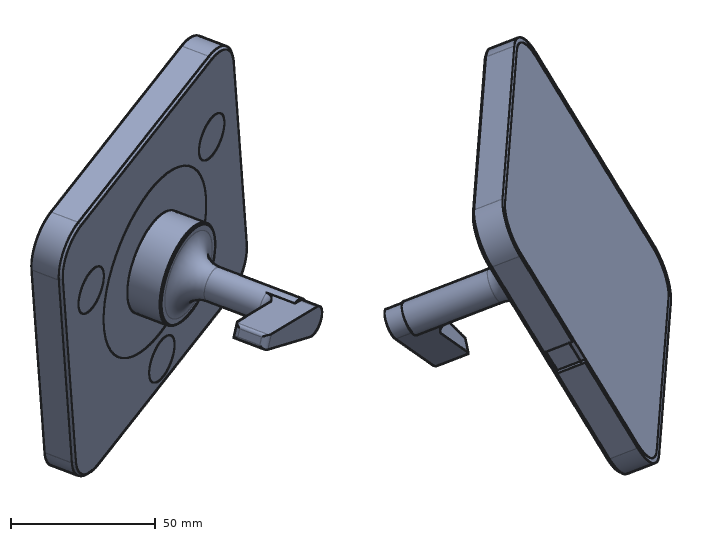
import cadquery as cq
import math

ROLL = 5.7
YAW = -5.7

PLATE_WIDTH = 120.2
PLATE_HEIGHT = 120.6
PLATE_THICKNESS = 12.0
PLATE_CORNER_RADIUS = 15.0
BACK_CHAMFER = 1.0

BEZEL = 2.0
PANEL_WIDTH = PLATE_WIDTH - 2 * BEZEL
PANEL_HEIGHT = PLATE_HEIGHT - 2 * BEZEL
PANEL_CORNER_RADIUS = PLATE_CORNER_RADIUS - BEZEL
PANEL_THICKNESS = 2.0

NOTCH_WIDTH = 9.8
NOTCH_DEPTH = PLATE_THICKNESS - BACK_CHAMFER

INLAY_THICKNESS = 1.3
DISC_DIAMETER = 70.5
PAD_DIAMETER = 17.5
PAD_CIRCLE_RADIUS = 48.1
PAD_ANGLES = [30, 150, 270]

CAP_DIAMETER = 38.0
CAP_LENGTH = 13.5
CAP_CHAMFER = 0.5
ROD_RADIUS = 6.3
FLARE_RADIUS = 10.0
ROD_LENGTH = 21.8
ARM_ROOT_RADIUS = 4.7
ARM_WIDTH = 13.5
ARM_HEEL_RADIUS = 5.7
ARM_LENGTH = 35.0
ARM_TILT = 29.5
SLIM_END_LENGTH = 6.7
TIP_THICKNESS = 5.4
TIP_CORNER_RADIUS = 2.3
TIP_EDGE_RADIUS = 1.3

FLARE_START = PLATE_THICKNESS + CAP_LENGTH
ROD_START = FLARE_START + FLARE_RADIUS
ARM_ROOT_START = ROD_START + ROD_LENGTH
ARM_START = ARM_ROOT_START + ARM_ROOT_RADIUS
HOOK_END = ARM_START + ARM_WIDTH
ROD_END = HOOK_END - SLIM_END_LENGTH
HEEL_Y = ROD_RADIUS - ARM_HEEL_RADIUS


def rounded_slab(width, height, thickness, corner_radius):
    """Slab with rounded corners, its front face on X = 0."""
    slab = cq.Workplane("YZ").rect(width, height).extrude(thickness)
    return slab.edges("|X").fillet(corner_radius)


def make_panel():
    return rounded_slab(PANEL_WIDTH, PANEL_HEIGHT, PANEL_THICKNESS, PANEL_CORNER_RADIUS)


def make_inlay(diameter, y, z):
    """Round inlay whose outer face lies on the plate's back face."""
    back_plane = cq.Workplane("YZ", origin=(PLATE_THICKNESS, y, z))
    return back_plane.circle(diameter / 2).extrude(-INLAY_THICKNESS)


def make_disc():
    return make_inlay(DISC_DIAMETER, 0, 0)


def make_pads():
    """Three pads evenly spaced on a circle around the disc."""
    pads = []
    for degrees in PAD_ANGLES:
        angle = math.radians(degrees)
        y = PAD_CIRCLE_RADIUS * math.cos(angle)
        z = PAD_CIRCLE_RADIUS * math.sin(angle)
        pads.append(make_inlay(PAD_DIAMETER, y, z))
    return pads


def make_plate(inserts):
    """Plate with a chamfered back edge, a cable notch and a recess for each insert."""
    plate = rounded_slab(PLATE_WIDTH, PLATE_HEIGHT, PLATE_THICKNESS, PLATE_CORNER_RADIUS)
    plate = plate.faces(">X").chamfer(BACK_CHAMFER)
    notch = cq.Workplane("XY").box(NOTCH_DEPTH, NOTCH_WIDTH, BEZEL, centered=(False, True, True))
    plate = plate.cut(notch.translate((0, 0, BEZEL / 2 - PLATE_HEIGHT / 2)))
    for insert in inserts:
        plate = plate.cut(insert)
    return plate


def make_stem():
    """Cap, flare and rod, turned about the X axis."""
    cap_radius = CAP_DIAMETER / 2
    flare_mid = FLARE_RADIUS * (1 - math.sqrt(0.5))
    profile = (
        cq.Workplane("XY")
        .moveTo(PLATE_THICKNESS, 0)
        .lineTo(PLATE_THICKNESS, cap_radius)
        .lineTo(FLARE_START - CAP_CHAMFER, cap_radius)
        .lineTo(FLARE_START, cap_radius - CAP_CHAMFER)
        .lineTo(FLARE_START, ROD_RADIUS + FLARE_RADIUS)
        .threePointArc(
            (FLARE_START + flare_mid, ROD_RADIUS + flare_mid),
            (ROD_START, ROD_RADIUS),
        )
        .lineTo(ROD_END, ROD_RADIUS)
        .lineTo(ROD_END, 0)
        .close()
    )
    return profile.revolve(360, (0, 0, 0), (1, 0, 0))


def arm_blank(start, end):
    """Stretch of the arm's section, which tapers along -Y from a round heel to the thinner tip."""
    half_tip = TIP_THICKNESS / 2
    reach = ARM_LENGTH + HEEL_Y
    to_corner = math.atan2(half_tip, reach)
    corner_to_touch = math.acos(ARM_HEEL_RADIUS / math.hypot(half_tip, reach))
    touch_y = -ARM_HEEL_RADIUS * math.cos(to_corner + corner_to_touch)
    touch_z = ARM_HEEL_RADIUS * math.sin(to_corner + corner_to_touch)
    section = (
        cq.Workplane("YZ", origin=(start, HEEL_Y, 0))
        .moveTo(touch_y, touch_z)
        .lineTo(-reach, half_tip)
        .lineTo(-reach, -half_tip)
        .lineTo(touch_y, -touch_z)
        .threePointArc((ARM_HEEL_RADIUS, 0), (touch_y, touch_z))
        .close()
    )
    return section.extrude(end - start)


def make_arm_root():
    """Concave flare from the rod into the arm, kept within the arm's section."""
    flare_mid = ARM_ROOT_RADIUS * (1 - math.sqrt(0.5))
    flare = (
        cq.Workplane("XY")
        .moveTo(ARM_ROOT_START, 0)
        .lineTo(ARM_ROOT_START, ROD_RADIUS)
        .threePointArc(
            (ARM_START - flare_mid, ROD_RADIUS + flare_mid),
            (ARM_START, ROD_RADIUS + ARM_ROOT_RADIUS),
        )
        .lineTo(ARM_START, 0)
        .close()
        .revolve(360, (0, 0, 0), (1, 0, 0))
    )
    return flare.intersect(arm_blank(ARM_ROOT_START, ARM_START))


def make_arm():
    """Arm with a rounded tip, tilted up about the rod axis."""
    arm = arm_blank(ARM_START, HOOK_END).faces("<Y").edges("|X").fillet(TIP_EDGE_RADIUS)
    envelope = cq.Workplane("XY").box(ARM_WIDTH, 2 * ARM_LENGTH, 2 * ROD_RADIUS, centered=(False, True, True))
    envelope = envelope.edges("|Z and <Y").fillet(TIP_CORNER_RADIUS)
    arm = arm.intersect(envelope.translate((ARM_START, 0, 0)))
    arm = arm.union(make_arm_root())
    return arm.rotate((0, 0, 0), (1, 0, 0), -ARM_TILT)


def make_hook():
    return make_stem().union(make_arm())


def place(body):
    """Turn a body from the upright frame to the part's pose."""
    rolled = body.rotate((0, 0, 0), (1, 0, 0), ROLL)
    return rolled.rotate((0, 0, 0), (0, 0, 1), YAW).val()


panel = make_panel()
disc = make_disc()
pads = make_pads()
plate = make_plate([panel, disc, *pads])
hook = make_hook()

result = cq.Compound.makeCompound([place(body) for body in [plate, panel, disc, *pads, hook]])